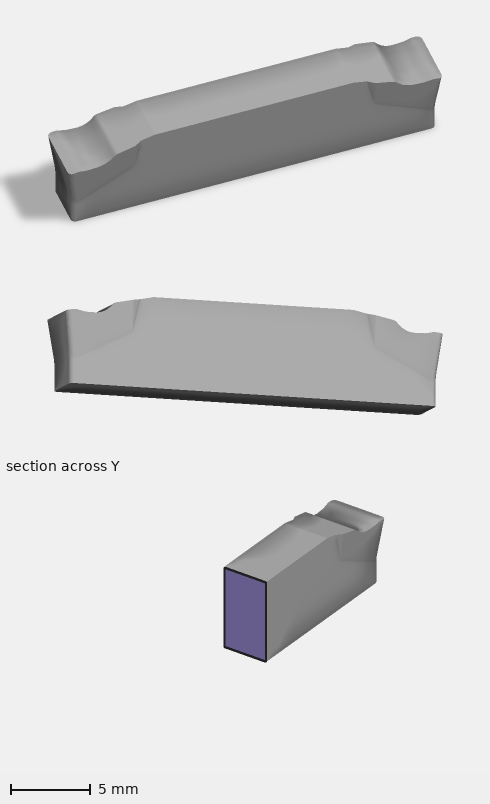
import cadquery as cq
import math


length = 24.99
height = 5.79
shank_width = 3.25
head_width = 4.0
tip_y = -length / 2

cutting_edge_height = 4.575
relief_angle = 7.2
relief_bottom_height = 2.17
end_wall_height = 1.63
corner_radius = 0.3

land_length = 0.51
land_angle = 7.0
land_crest_radius = 0.7
groove_entry_angle = 12.0
groove_entry_length = 0.31
groove_radius = 1.5
groove_floor_length = 0.51
groove_exit_angle = 45.0
groove_exit_length = 0.17
ramp_crest_radius = 0.45
ramp_angle = 11.8

flank_flare_angle = 6.7
flank_draft_angle = 3.3
shoulder_depth = 4.46
shoulder_angle = 26.0
shoulder_radius = 0.15
head_blank_depth = 6.0


def tangent(degrees):
    return math.tan(math.radians(degrees))


def incline(start, length_along, angle):
    """End point of a straight piece covering a horizontal length at a given slope angle."""
    return (start[0] + length_along, start[1] + length_along * tangent(angle))


def arc_points(start, radius, start_angle, end_angle):
    """Middle and end point of an arc that turns from one slope angle to another."""
    turn = math.copysign(1, end_angle - start_angle)

    def point_at(angle):
        run = math.sin(math.radians(angle)) - math.sin(math.radians(start_angle))
        rise = math.cos(math.radians(start_angle)) - math.cos(math.radians(angle))
        return (start[0] + turn * radius * run, start[1] + turn * radius * rise)

    return point_at((start_angle + end_angle) / 2), point_at(end_angle)


def half_slab(width):
    """Side outline of the -Y half, extruded across X and rounded at its end corners."""
    relief_depth = (cutting_edge_height - relief_bottom_height) * tangent(relief_angle)
    blend_drop = relief_bottom_height - end_wall_height
    end_wall_y = tip_y + relief_depth + blend_drop * tangent(relief_angle / 2)
    blend_radius = blend_drop / math.sin(math.radians(relief_angle))
    half_relief = math.radians(relief_angle / 2)
    blend_middle = (
        end_wall_y - blend_radius * (1 - math.cos(half_relief)),
        end_wall_height + blend_radius * math.sin(half_relief),
    )

    cutting_edge = (tip_y, cutting_edge_height)
    land_end = incline(cutting_edge, land_length, land_angle)
    crest_middle, crest_end = arc_points(land_end, land_crest_radius, land_angle, -groove_entry_angle)
    entry_end = incline(crest_end, groove_entry_length, -groove_entry_angle)
    entry_middle, floor_start = arc_points(entry_end, groove_radius, -groove_entry_angle, 0)
    floor_end = incline(floor_start, groove_floor_length, 0)
    groove_middle, groove_end = arc_points(floor_end, groove_radius, 0, groove_exit_angle)
    exit_end = incline(groove_end, groove_exit_length, groove_exit_angle)
    ramp_middle, ramp_start = arc_points(exit_end, ramp_crest_radius, groove_exit_angle, ramp_angle)
    ramp_end_y = ramp_start[0] + (height - ramp_start[1]) / tangent(ramp_angle)

    slab = (
        cq.Workplane("YZ")
        .moveTo(0, 0)
        .lineTo(end_wall_y, 0)
        .lineTo(end_wall_y, end_wall_height)
        .threePointArc(blend_middle, (tip_y + relief_depth, relief_bottom_height))
        .lineTo(*cutting_edge)
        .lineTo(*land_end)
        .threePointArc(crest_middle, crest_end)
        .lineTo(*entry_end)
        .threePointArc(entry_middle, floor_start)
        .lineTo(*floor_end)
        .threePointArc(groove_middle, groove_end)
        .lineTo(*exit_end)
        .threePointArc(ramp_middle, ramp_start)
        .lineTo(ramp_end_y, height)
        .lineTo(0, height)
        .close()
        .extrude(width / 2, both=True)
    )
    return slab


def round_end_corners(solid):
    """Round the upright edges between the end face and the two flanks."""
    reach = 2 * corner_radius
    end_zone = cq.selectors.BoxSelector(
        (-head_width, tip_y - reach, -reach),
        (head_width, tip_y + reach, cutting_edge_height),
    )
    return solid.edges(end_zone).edges("not |X").fillet(corner_radius)


def head_plan(z):
    """Plan outline of the head blank at a given height."""
    flare = (z - cutting_edge_height) * tangent(flank_flare_angle)
    draft = tangent(flank_draft_angle)
    land_flare = tangent(land_angle) * tangent(flank_flare_angle)
    tip_half = head_width / 2 + corner_radius * (draft - land_flare) + flare
    shoulder_half = tip_half - shoulder_depth * draft
    back_half = shoulder_half - (head_blank_depth - shoulder_depth) * tangent(shoulder_angle)
    right = [
        (tip_half, tip_y),
        (shoulder_half, tip_y + shoulder_depth),
        (back_half, tip_y + head_blank_depth),
    ]
    left = [(-x, y) for x, y in reversed(right)]
    return cq.Wire.makePolygon([cq.Vector(x, y, z) for x, y in right + left], close=True)


def make_head():
    blank = cq.Workplane(cq.Solid.makeLoft([head_plan(0), head_plan(height)], True))
    shoulder_zone = cq.selectors.BoxSelector(
        (-head_width, tip_y + shoulder_depth - shoulder_radius, 0),
        (head_width, tip_y + shoulder_depth + shoulder_radius, height),
    )
    blank = blank.edges(shoulder_zone).fillet(shoulder_radius)
    return round_end_corners(blank.intersect(half_slab(2 * head_width)))


def make_shank():
    return round_end_corners(half_slab(shank_width))


half = make_shank().union(make_head())
result = half.union(half.mirror("XZ")).clean()